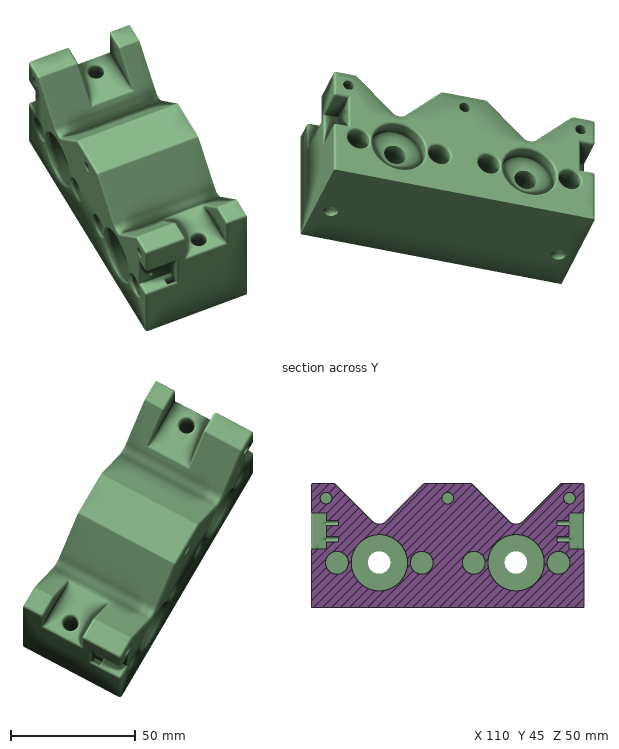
import cadquery as cq
import math

LENGTH = 110.0
DEPTH = 45.0
HEIGHT = 50.0
EDGE_RADIUS = 1.0
HALF_LENGTH = LENGTH / 2
MIDDLE_X = LENGTH / 4
SIDES = (-1, 1)

V_HALF_WIDTH = 18.0
V_ROOT_RADIUS = 4.0

NOTCH_FLOOR = 37.1
NOTCH_WIDTH = 18.0
NOTCH_Y = 27.0
BOLT_DIAMETER = 6.0
BOLT_FROM_END = 7.0

POCKET_IN = 6.0
POCKET_BACK = 14.0
POCKET_FLOOR = 23.8
POCKET_TOP = 38.0

SLOT_OUTER = EDGE_RADIUS
SLOT_INNER = 4.0
SLOT_WIDTH = 3.5
SLOT_DEPTH = 4.0

PILOT_DIAMETER = 1.9
PILOT_DEPTH = 5.0
PILOT_Y = 5.0
PILOT_HEIGHTS = (27.5, 34.0)

BORE_Z = 18.0
COUNTERBORE_DIAMETER = 22.4
COUNTERBORE_DEPTH = 6.0
SHAFT_DIAMETER = 9.0
SIDE_BORE_DIAMETER = 9.0
SIDE_BORE_DEPTH = 11.0
SIDE_BORE_SPACING = 17.0

PIN_DIAMETER = 4.5
PIN_DEPTH = 11.0
PIN_Z = 44.0
PIN_X = 49.0


def box(x_range, y_range, z_range):
    """Box between the given limits."""
    (x0, x1), (y0, y1), (z0, z1) = x_range, y_range, z_range
    return cq.Workplane("XY").box(x1 - x0, y1 - y0, z1 - z0, centered=False).translate((x0, y0, z0))


def end_box(side, inset, y_range, z_range):
    """Box at one end of the block, with limits in X measured inward from the end face."""
    x_range = sorted(side * (HALF_LENGTH - distance) for distance in inset)
    return box(x_range, y_range, z_range)


def hole(mouth, direction, diameter, depth):
    """Cutter for a plain round hole."""
    return cq.Workplane(cq.Solid.makeCylinder(diameter / 2, depth, cq.Vector(*mouth), cq.Vector(*direction)))


def rounded_hole(mouth, x_direction, direction, diameter, depth):
    """Cutter for a round hole whose mouth flares out with the edge radius."""
    radius = diameter / 2
    rim = radius + EDGE_RADIUS
    arc_offset = EDGE_RADIUS * (1 - math.sqrt(0.5))
    normal = cq.Vector(*x_direction).cross(cq.Vector(*direction))
    half_section = (
        cq.Workplane(cq.Plane(mouth, x_direction, normal))
        .moveTo(0, 0)
        .lineTo(rim, 0)
        .threePointArc((radius + arc_offset, arc_offset), (radius, EDGE_RADIUS))
        .lineTo(radius, depth)
        .lineTo(0, depth)
        .close()
    )
    return half_section.revolve(360, (0, 0), (0, 1))


def v_groove(side):
    """V groove cutter with a rounded root."""
    root_z = HEIGHT - V_HALF_WIDTH
    tangent = V_ROOT_RADIUS * math.sqrt(0.5)
    root_bottom = root_z + V_ROOT_RADIUS * (math.sqrt(2) - 1)
    return (
        cq.Workplane("XZ", origin=(side * MIDDLE_X, 0, 0))
        .moveTo(-V_HALF_WIDTH, HEIGHT)
        .lineTo(-tangent, root_z + tangent)
        .threePointArc((0, root_bottom), (tangent, root_z + tangent))
        .lineTo(V_HALF_WIDTH, HEIGHT)
        .close()
        .extrude(-DEPTH)
    )


def is_rounded(edge):
    """True for outer edges, except those of the back and bottom faces and the seams in the V roots."""
    centre = edge.Center()
    bounds = edge.BoundingBox()
    on_back = bounds.ymin > DEPTH - EDGE_RADIUS
    on_bottom = bounds.zmax < EDGE_RADIUS
    in_root = abs(abs(centre.x) - MIDDLE_X) < V_ROOT_RADIUS and bounds.ylen > DEPTH / 2
    return not (on_back or on_bottom or in_root)


block = box((-HALF_LENGTH, HALF_LENGTH), (0, DEPTH), (0, HEIGHT))
notch_y = (NOTCH_Y - NOTCH_WIDTH / 2, NOTCH_Y + NOTCH_WIDTH / 2)
for side in SIDES:
    block = block.cut(v_groove(side))
    block = block.cut(end_box(side, (0, MIDDLE_X), notch_y, (NOTCH_FLOOR, HEIGHT)))
    block = block.cut(end_box(side, (0, POCKET_IN), (0, POCKET_BACK), (POCKET_FLOOR, POCKET_TOP)))

outer_faces = block.faces("<Y or <X or >X or >Z").add(block.faces("%PLANE and (not (|X or |Y or |Z))"))
outer_edges = [edge for edge in outer_faces.edges().vals() if is_rounded(edge)]
block = block.newObject(outer_edges).fillet(EDGE_RADIUS)

for side in SIDES:
    bolt_x = side * (HALF_LENGTH - BOLT_FROM_END)
    block = block.cut(
        rounded_hole((bolt_x, NOTCH_Y, NOTCH_FLOOR), (1, 0, 0), (0, 0, -1), BOLT_DIAMETER, NOTCH_FLOOR)
    )

    slot_front = POCKET_BACK - SLOT_WIDTH
    slot_z = (POCKET_FLOOR - SLOT_DEPTH, POCKET_FLOOR)
    block = block.cut(end_box(side, (SLOT_OUTER, SLOT_INNER), (slot_front, POCKET_BACK), slot_z))
    inner_x = side * (HALF_LENGTH - SLOT_INNER)
    middle_x = side * (HALF_LENGTH - (SLOT_OUTER + SLOT_INNER) / 2)
    mouth_points = [
        (inner_x, POCKET_BACK - SLOT_WIDTH / 2, POCKET_FLOOR),
        (middle_x, slot_front, POCKET_FLOOR),
    ]
    mouth_edges = [block.edges(cq.selectors.NearestToPointSelector(point)).val() for point in mouth_points]
    block = block.newObject(mouth_edges).fillet(EDGE_RADIUS)

    for height in PILOT_HEIGHTS:
        wall_point = (side * (HALF_LENGTH - POCKET_IN), PILOT_Y, height)
        block = block.cut(hole(wall_point, (-side, 0, 0), PILOT_DIAMETER, PILOT_DEPTH))

    shaft_x = side * MIDDLE_X
    block = block.cut(hole((shaft_x, 0, BORE_Z), (0, 1, 0), SHAFT_DIAMETER, DEPTH))
    bores = [(shaft_x, COUNTERBORE_DIAMETER, COUNTERBORE_DEPTH)]
    for flank in SIDES:
        bores.append((shaft_x + flank * SIDE_BORE_SPACING, SIDE_BORE_DIAMETER, SIDE_BORE_DEPTH))
    for x, diameter, depth in bores:
        block = block.cut(rounded_hole((x, 0, BORE_Z), (1, 0, 0), (0, 1, 0), diameter, depth))

for x in (-PIN_X, 0, PIN_X):
    block = block.cut(hole((x, 0, PIN_Z), (0, 1, 0), PIN_DIAMETER, PIN_DEPTH))

result = block